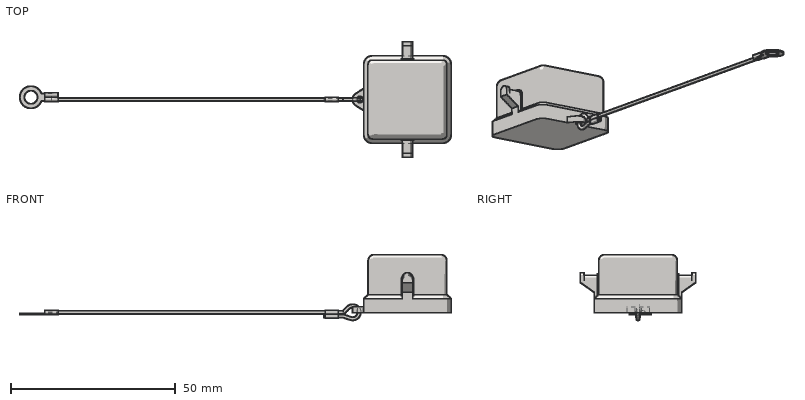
import cadquery as cq
import math

total_length = 130.8

base_side = 26.5
base_height = 4.3
base_corner_radius = 2.6
box_side = 23.9
bevel_inset = (base_side - box_side) / 2
box_corner_radius = base_corner_radius - bevel_inset
top_edge_radius = 2.0
cap_height = 17.7
bevel_height = 1.2

embed_depth = 1.3

peg_span = 35.0
peg_radius = 1.6
peg_axis_z = 9.8
flange_thickness = 1.2
flange_top_z = 12.2
flange_bottom_z = 9.2
rib_foot_z = 6.1
boss_radius = 2.0
boss_projection = 0.4

lug_nose_radius = 2.2
lug_flare_angle = math.radians(32)
lug_thickness = 1.8
lug_reach = 3.4
lug_hole_radius = 0.9
lug_axis_x = -base_side / 2 - lug_reach + lug_nose_radius
lug_root_x = -base_side / 2 + embed_depth

wire_radius = 0.5
wire_z = 0.1
crimp_lobe_radius = 0.7
loop_lobe_spacing = 1.15
ring_lobe_overlap = 0.04
ring_lobe_spacing = 2 * crimp_lobe_radius - ring_lobe_overlap
crimp_length = 4.0
loop_radius = 2.0
loop_x = -16.6
loop_z = 0.1
loop_crimp_end_x = -20.9
loop_fork_x = -19.4
loop_crimp_start_x = loop_crimp_end_x - crimp_length
wire_end_x = loop_crimp_end_x - crimp_length / 2
wire_tail = 0.4

ring_radius = 3.4
ring_hole_radius = 2.0
ring_thickness = 0.4
ring_x = base_side / 2 - total_length + ring_radius
ring_y = ring_lobe_spacing / 2
ring_neck_width = 2.4
ring_neck_length = 0.8
ring_crimp_start_x = ring_x + ring_radius + ring_neck_length


def make_cap():
    base = (
        cq.Workplane("XY")
        .rect(base_side, base_side)
        .extrude(base_height + bevel_height)
        .edges("|Z")
        .fillet(base_corner_radius)
        .faces(">Z")
        .chamfer(bevel_height, bevel_inset)
    )
    box = (
        cq.Workplane("XY")
        .rect(box_side, box_side)
        .extrude(cap_height)
        .edges("|Z")
        .fillet(box_corner_radius)
        .faces(">Z")
        .edges()
        .fillet(top_edge_radius)
    )
    return base.union(box)


def arch(radius, axis_z, bottom_z, y_inner, y_outer):
    """Upright plate with a half-round top, between two Y positions."""
    return (
        cq.Workplane("XZ", origin=(0, y_outer, 0))
        .moveTo(-radius, bottom_z)
        .lineTo(radius, bottom_z)
        .lineTo(radius, axis_z)
        .threePointArc((0, axis_z + radius), (-radius, axis_z))
        .close()
        .extrude(y_outer - y_inner)
    )


def make_peg():
    """Peg on the +Y side: wall boss, arm with sloped rib, and end flange."""
    inside_y = box_side / 2 - embed_depth
    end_y = peg_span / 2
    boss = arch(boss_radius, peg_axis_z, base_height, inside_y, box_side / 2 + boss_projection)
    arm = arch(peg_radius, peg_axis_z, 0, inside_y, end_y)
    flange = arch(peg_radius, flange_top_z - peg_radius, 0, end_y - flange_thickness, end_y)
    side_outline = (
        cq.Workplane("YZ", origin=(-peg_radius, 0, 0))
        .polyline(
            [
                (inside_y, 0),
                (base_side / 2, 0),
                (base_side / 2, rib_foot_z),
                (end_y, flange_bottom_z),
                (end_y, flange_top_z),
                (inside_y, flange_top_z),
            ]
        )
        .close()
        .extrude(2 * peg_radius)
    )
    return arm.union(flange).intersect(side_outline).union(boss)


def make_lug():
    """Plate with a round nose and straight tangent sides that flare out to the cap."""
    tangent_x = lug_axis_x - lug_nose_radius * math.sin(lug_flare_angle)
    tangent_y = lug_nose_radius * math.cos(lug_flare_angle)
    root_y = tangent_y + (lug_root_x - tangent_x) * math.tan(lug_flare_angle)
    plate = (
        cq.Workplane("XY")
        .moveTo(lug_root_x, root_y)
        .lineTo(tangent_x, tangent_y)
        .threePointArc((lug_axis_x - lug_nose_radius, 0), (tangent_x, -tangent_y))
        .lineTo(lug_root_x, -root_y)
        .close()
        .extrude(lug_thickness)
    )
    hole = cq.Workplane("XY", origin=(lug_axis_x, 0, 0)).circle(lug_hole_radius).extrude(lug_thickness)
    return plate.cut(hole)


def rod(radius, start, end):
    """Round bar between two points."""
    direction = cq.Vector(*end) - cq.Vector(*start)
    return cq.Workplane(cq.Solid.makeCylinder(radius, direction.Length, cq.Vector(*start), direction))


def make_crimp(start_x, offset_y, offset_z):
    """Crimp of two lobes: one around the wire, one beside it at the given offset."""
    lobes = [
        rod(crimp_lobe_radius, (start_x, y, z), (start_x + crimp_length, y, z))
        for y, z in ((0, wire_z), (offset_y, wire_z + offset_z))
    ]
    return lobes[0].union(lobes[1])


def make_loop():
    """Wire loop in the XZ plane: two strands leave the crimp and join round an arc."""
    loop = None
    tangent_points = []
    strands = (
        (1, wire_z, wire_end_x),
        (-1, wire_z - loop_lobe_spacing, loop_crimp_start_x - wire_tail),
    )
    for side, strand_z, start_x in strands:
        dx = loop_fork_x - loop_x
        dz = strand_z - loop_z
        angle = math.atan2(dz, dx) - side * math.acos(loop_radius / math.hypot(dx, dz))
        tangent = (loop_x + loop_radius * math.cos(angle), 0, loop_z + loop_radius * math.sin(angle))
        tangent_points.append(tangent)
        fork = (loop_fork_x, 0, strand_z)
        pieces = (
            rod(wire_radius, (start_x, 0, strand_z), fork),
            cq.Workplane("XY", origin=fork).sphere(wire_radius),
            rod(wire_radius, fork, tangent),
        )
        for piece in pieces:
            loop = piece if loop is None else loop.union(piece)
    upper, lower = tangent_points
    path = (
        cq.Workplane("XZ")
        .moveTo(upper[0], upper[2])
        .threePointArc((loop_x + loop_radius, loop_z), (lower[0], lower[2]))
    )
    normal = cq.Vector(upper[2] - loop_z, 0, loop_x - upper[0])
    bend = cq.Workplane(cq.Plane(upper, (0, 1, 0), normal)).circle(wire_radius).sweep(path)
    return loop.union(bend)


def make_ring_terminal():
    bottom_z = wire_z - crimp_lobe_radius
    strip_length = ring_crimp_start_x + crimp_length / 2 - ring_x
    return (
        cq.Workplane("XY", origin=(ring_x, ring_y, bottom_z))
        .circle(ring_radius)
        .extrude(ring_thickness)
        .union(
            cq.Workplane("XY", origin=(ring_x + strip_length / 2, ring_y, bottom_z))
            .rect(strip_length, ring_neck_width)
            .extrude(ring_thickness)
        )
        .cut(
            cq.Workplane("XY", origin=(ring_x, ring_y, bottom_z))
            .circle(ring_hole_radius)
            .extrude(ring_thickness)
        )
    )


peg = make_peg()
wire = rod(wire_radius, (ring_crimp_start_x + crimp_length / 2, 0, wire_z), (wire_end_x, 0, wire_z))

result = make_cap()
for feature in (
    peg,
    peg.mirror("XZ"),
    make_lug(),
    make_loop(),
    make_crimp(loop_crimp_start_x, 0, -loop_lobe_spacing),
    wire,
    make_crimp(ring_crimp_start_x, ring_lobe_spacing, 0),
    make_ring_terminal(),
):
    result = result.union(feature)